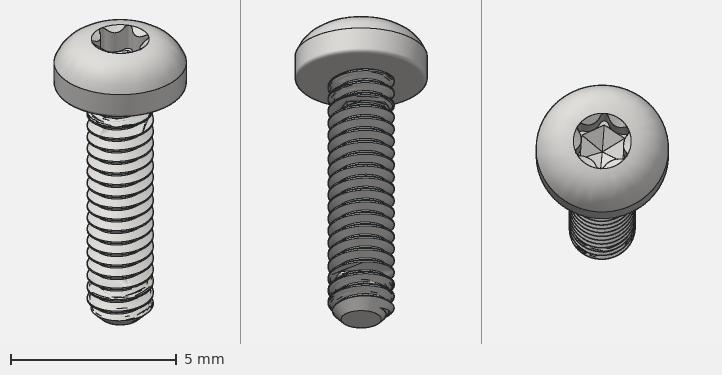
import cadquery as cq
import math

total_length = 9.6
head_diameter = 4.0
head_height = 1.6
head_wall_height = 0.81
head_edge_fillet = 0.12
head_radius = head_diameter / 2
head_base = total_length - head_height

shank_diameter = head_diameter / 2
shank_radius = shank_diameter / 2
tip_radius = 0.6
pitch = shank_diameter / 5
thread_depth = 0.25
crest_width = pitch / 8
root_width = pitch / 8
core_radius = shank_radius - thread_depth
first_crest_height = 0.34
thread_start = first_crest_height - 2 * pitch
thread_turns = 24
thread_embed = 0.01
shank_overrun = 1.44
envelope_clearance = 0.03

socket_radius = 0.87
socket_waist_radius = 0.64
lobe_tip_radius = 0.13
lobe_count = 6
socket_depth = 0.81
countersink_depth = 0.15
countersink_floor_radius = 0.62
floor_corner_radius = 0.75
floor_cone_depth = 0.35


def polar(radius, degrees):
    """Point at the given radius and angle."""
    angle = math.radians(degrees)
    return radius * math.cos(angle), radius * math.sin(angle)


def make_head():
    """Pan head: flat top out to the socket rim, then an arc tangent to that flat."""
    dome_width = head_radius - socket_radius
    dome_drop = head_height - head_wall_height
    dome_radius = (dome_width**2 + dome_drop**2) / (2 * dome_drop)
    half_sweep = math.asin(dome_width / dome_radius) / 2
    dome_middle = (
        socket_radius + dome_radius * math.sin(half_sweep),
        total_length - dome_radius * (1 - math.cos(half_sweep)),
    )
    profile = (
        cq.Workplane("XZ")
        .moveTo(0, head_base)
        .lineTo(head_radius, head_base)
        .lineTo(head_radius, head_base + head_wall_height)
        .threePointArc(dome_middle, (socket_radius, total_length))
        .lineTo(0, total_length)
        .close()
    )
    head = profile.revolve(360, (0, 0, 0), (0, 1, 0))
    return head.faces("<Z").edges().fillet(head_edge_fillet)


def make_thread():
    """Right-handed thread ridge, rooted inside the core, that runs past both shank ends."""
    flank_slope = (pitch - root_width - crest_width) / 2 / thread_depth
    half_crest = crest_width / 2
    half_base = half_crest + flank_slope * (thread_depth + thread_embed)
    base_radius = core_radius - thread_embed
    section = cq.Workplane("XZ").polyline([
        (base_radius, -half_base),
        (shank_radius, -half_crest),
        (shank_radius, half_crest),
        (base_radius, half_base),
    ]).close()
    path = cq.Wire.makeHelix(pitch, thread_turns * pitch, shank_radius)
    ridge = section.sweep(cq.Workplane(path), isFrenet=True)
    return ridge.translate((0, 0, thread_start))


def make_shank():
    """Threaded shank trimmed to length, with a 45 degree tip."""
    core = cq.Workplane("XY", origin=(0, 0, -shank_overrun)).circle(core_radius)
    core = core.extrude(total_length + shank_overrun)
    threaded_rod = core.union(make_thread(), clean=False)
    envelope_radius = shank_radius + envelope_clearance
    envelope = cq.Workplane("XY").circle(envelope_radius).extrude(head_base)
    envelope = envelope.faces("<Z").edges().chamfer(envelope_radius - tip_radius)
    return threaded_rod.intersect(envelope, clean=False)


def make_socket():
    """Lobed recess with a shallow countersink and a hexagonal pyramid floor."""
    half_step = 180 / lobe_count
    cos_step = math.cos(math.radians(half_step))
    tip_center = socket_radius - lobe_tip_radius
    waist_arc_radius = (
        tip_center**2 + socket_waist_radius**2
        - 2 * tip_center * socket_waist_radius * cos_step - lobe_tip_radius**2
    ) / (2 * (lobe_tip_radius - socket_waist_radius + tip_center * cos_step))
    waist_center = socket_waist_radius + waist_arc_radius
    bulge_x, bulge_y = polar(waist_center, half_step)
    share = lobe_tip_radius / (lobe_tip_radius + waist_arc_radius)
    tangent_x = tip_center + share * (bulge_x - tip_center)
    tangent_y = share * bulge_y
    tangent_radius = math.hypot(tangent_x, tangent_y)
    tangent_angle = math.degrees(math.atan2(tangent_y, tangent_x))

    floor = total_length - socket_depth
    outline = cq.Workplane("XY", origin=(0, 0, floor))
    outline = outline.moveTo(*polar(tangent_radius, -tangent_angle))
    for lobe in range(lobe_count):
        angle = lobe * 2 * half_step
        next_angle = angle + 2 * half_step
        outline = outline.threePointArc(
            polar(socket_radius, angle), polar(tangent_radius, angle + tangent_angle)
        )
        outline = outline.threePointArc(
            polar(socket_waist_radius, angle + half_step),
            polar(tangent_radius, next_angle - tangent_angle),
        )
    recess = outline.close().extrude(socket_depth)

    countersink = cq.Workplane("XZ").polyline([
        (0, total_length),
        (socket_radius, total_length),
        (countersink_floor_radius, total_length - countersink_depth),
        (0, total_length - countersink_depth),
    ]).close().revolve(360, (0, 0, 0), (0, 1, 0))

    corners = [polar(floor_corner_radius, 2 * half_step * i) for i in range(lobe_count)]
    apex = cq.Vector(0, 0, floor - floor_cone_depth)
    rim = [cq.Vector(x, y, floor) for x, y in corners]
    faces = [cq.Face.makeFromWires(cq.Wire.makePolygon(rim, close=True))]
    for i in range(lobe_count):
        side = [rim[i], rim[(i + 1) % lobe_count], apex]
        faces.append(cq.Face.makeFromWires(cq.Wire.makePolygon(side, close=True)))
    pyramid = cq.Solid.makeSolid(cq.Shell.makeShell(faces))
    return recess.union(countersink).union(cq.Workplane(pyramid))


head = make_head().cut(make_socket())
result = head.union(make_shank(), clean=False)